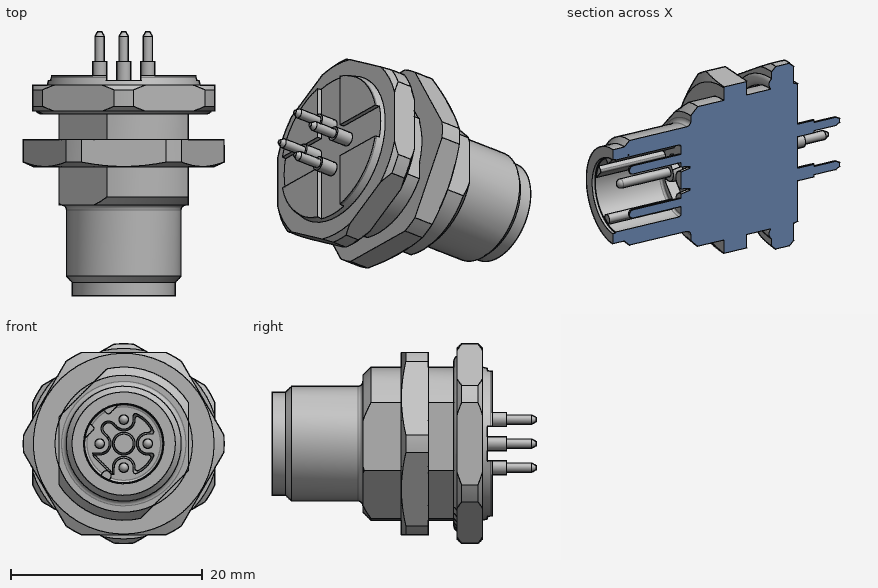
import cadquery as cq
import math


TOTAL_LENGTH = 27.6
NOSE_END = 1.4
SLEEVE_START = 2.05
HOUSING_START = 9.47
NUT_START = 13.47
NUT_END = 16.3
FLANGE_START = 19.3
FLANGE_END = 22.0
SLOT_FLOOR = 22.5
BOSS_END = 23.0
PIN_SHOULDER = 24.48

NOSE_RADIUS = 10.8 / 2
SLEEVE_RADIUS = 12.0 / 2
SLEEVE_FILLET = 0.5
HOUSING_RADIUS = 16.0 / 2
HOUSING_CHAMFER = 0.85
HOUSING_FLAT = 6.75
FLAT_ANGLES = (0, 180, 135, 315)

HEX_ACROSS_FLATS = 19.05
NUT_CORNER_RADIUS = 21.0 / 2
NUT_HOLE_RADIUS = 7.18
NUT_FACE_RADIUS = 9.45
NUT_CHAMFER_LENGTH = 0.5
FLANGE_CORNER_RADIUS = 20.9 / 2
FLANGE_CHAMFER = 0.5

RING_TUBE_RADIUS = 0.75
RING_RADIUS = 8.53
RING_PROTRUSION = 0.33

BOSS_REAR_RADIUS = 7.78
BOSS_LIP = 0.2
SLOT_WIDTH = 3.65

MOUTH_RADIUS = 8.4 / 2
MOUTH_DEPTH = 0.33
BORE_RADIUS = 4.08
BORE_FILLET = 0.25
INSERT_FACE = 8.28

RECESS_DEPTH = 1.1
RECESS_DRAFT = 10.0
RECESS_RADIUS = 3.2
RECESS_CHORD = 2.98
LOBE_CORNER_RADIUS = 0.25
ISLAND_RADIUS = 1.2
FINGER_REACH = 2.24

KEY_START = 0.41
WEDGE_TIP_RADIUS = 0.25
WEDGE_OFFSET = 1.6
WEDGE_TIP_DISTANCE = 3.0
ROUND_KEY_RADIUS = 0.5
ROUND_KEY_DISTANCE = 3.78
ROUND_KEY_ANGLE = 241.5

PIN_CIRCLE_RADIUS = 2.5
CONTACT_RADIUS = 1.0 / 2
CONTACT_TIP = 2.01
TAIL_BASE_RADIUS = 1.5 / 2
TAIL_TIP_RADIUS = 0.22
TAIL_TIP_LENGTH = 0.5
PIN_ANGLES = (0, 90, 180, 270)


def revolve_profile(points):
    """Solid of revolution about Y from a closed (radius, y) outline."""
    return cq.Workplane("XY").polyline(points).close().revolve(360, (0, 0, 0), (0, 1, 0))


def plane_at(y):
    """Workplane across the axis: local x is X, local y is Z and the normal is -Y."""
    return cq.Workplane("XZ", origin=(0, y, 0))


def cylinder(radius, start, end):
    return plane_at(start).circle(radius).extrude(start - end)


def turned(shape, angle):
    """Turn a shape about the plug axis, from +X towards +Z."""
    return shape.rotate((0, 0, 0), (0, 1, 0), -angle)


def make_sleeve():
    fillet_start = HOUSING_START - SLEEVE_FILLET
    fillet_middle = SLEEVE_FILLET * (1 - math.sqrt(0.5))
    return (
        cq.Workplane("XY")
        .polyline([
            (0, HOUSING_START),
            (0, 0),
            (NOSE_RADIUS, 0),
            (NOSE_RADIUS, NOSE_END),
            (SLEEVE_RADIUS, SLEEVE_START),
            (SLEEVE_RADIUS, fillet_start),
        ])
        .threePointArc(
            (SLEEVE_RADIUS + fillet_middle, HOUSING_START - fillet_middle),
            (SLEEVE_RADIUS + SLEEVE_FILLET, HOUSING_START),
        )
        .close()
        .revolve(360, (0, 0, 0), (0, 1, 0))
    )


def make_housing():
    housing = cylinder(HOUSING_RADIUS, HOUSING_START, FLANGE_START).faces("<Y").chamfer(HOUSING_CHAMFER)
    cutter_size = 2 * HOUSING_RADIUS
    for angle in FLAT_ANGLES:
        cutter = (
            plane_at(HOUSING_START)
            .center(HOUSING_FLAT + cutter_size / 2, 0)
            .rect(cutter_size, cutter_size)
            .extrude(HOUSING_START - FLANGE_START)
        )
        housing = housing.cut(turned(cutter, angle))
    return housing


def hexagon(start, end):
    """Hexagonal prism with two corners on the X axis."""
    across_corners = HEX_ACROSS_FLATS / math.cos(math.pi / 6)
    return plane_at(start).polygon(6, across_corners).extrude(start - end)


def make_nut():
    envelope = revolve_profile([
        (0, NUT_START),
        (NUT_FACE_RADIUS, NUT_START),
        (NUT_CORNER_RADIUS, NUT_START + NUT_CHAMFER_LENGTH),
        (NUT_CORNER_RADIUS, NUT_END),
        (0, NUT_END),
    ])
    hole = cylinder(NUT_HOLE_RADIUS, NUT_START, NUT_END)
    return hexagon(NUT_START, NUT_END).intersect(envelope).cut(hole)


def make_flange():
    envelope = cylinder(FLANGE_CORNER_RADIUS, FLANGE_START, FLANGE_END)
    envelope = envelope.faces("<Y or >Y").chamfer(FLANGE_CHAMFER)
    return turned(hexagon(FLANGE_START, FLANGE_END), 90).intersect(envelope)


def make_sealing_ring():
    ring_centre = FLANGE_START - RING_PROTRUSION + RING_TUBE_RADIUS
    return (
        cq.Workplane("XY")
        .center(RING_RADIUS, ring_centre)
        .circle(RING_TUBE_RADIUS)
        .revolve(360, (-RING_RADIUS, 0, 0), (-RING_RADIUS, 1, 0))
    )


def make_rear_boss():
    boss = revolve_profile([
        (0, FLANGE_END),
        (HOUSING_RADIUS, FLANGE_END),
        (BOSS_REAR_RADIUS, BOSS_END - BOSS_LIP),
        (BOSS_REAR_RADIUS, BOSS_END),
        (0, BOSS_END),
    ])
    slot = plane_at(SLOT_FLOOR).rect(2 * HOUSING_RADIUS, SLOT_WIDTH).extrude(SLOT_FLOOR - BOSS_END)
    return boss.cut(slot).cut(turned(slot, 90))


def make_socket():
    bore = cylinder(BORE_RADIUS, 0, INSERT_FACE).faces(">Y").edges().fillet(BORE_FILLET)
    return bore.union(cylinder(MOUTH_RADIUS, 0, MOUTH_DEPTH))


def make_recess():
    """Drafted recess of four lobes that flows round the pin islands and the centre stud."""
    floor = plane_at(INSERT_FACE + RECESS_DEPTH)
    widening = {"until": RECESS_DEPTH, "taper": -RECESS_DRAFT}
    narrowing = {"until": RECESS_DEPTH, "taper": RECESS_DRAFT}

    recess = floor.circle(RECESS_RADIUS).extrude(**widening)

    corner_lobe = (
        floor.center(-RECESS_RADIUS / 2, -RECESS_RADIUS / 2)
        .rect(RECESS_RADIUS, RECESS_RADIUS)
        .extrude(RECESS_DEPTH)
    )
    chord_block = (
        floor.center(RECESS_CHORD + BORE_RADIUS / 2, 0)
        .rect(BORE_RADIUS, 2 * BORE_RADIUS)
        .extrude(**narrowing)
    )
    recess = recess.union(corner_lobe).cut(turned(chord_block, 225))

    offset = PIN_CIRCLE_RADIUS * math.sqrt(0.5)
    finger_radius = offset - ISLAND_RADIUS
    quadrant = (
        floor.center(-BORE_RADIUS / 2, BORE_RADIUS / 2)
        .rect(BORE_RADIUS, BORE_RADIUS)
        .extrude(RECESS_DEPTH)
    )
    finger = (
        floor.center(FINGER_REACH / 2, 0)
        .slot2D(FINGER_REACH + 2 * finger_radius, 2 * finger_radius)
        .extrude(**widening)
    )
    hub = floor.circle(offset).extrude(RECESS_DEPTH)
    recess = recess.cut(quadrant).union(hub).union(turned(finger, 135))

    island = (
        floor.center(PIN_CIRCLE_RADIUS + BORE_RADIUS / 2, 0)
        .slot2D(BORE_RADIUS + 2 * ISLAND_RADIUS, 2 * ISLAND_RADIUS)
        .extrude(**narrowing)
    )
    for angle in PIN_ANGLES:
        recess = recess.cut(turned(island, angle))
    stud = floor.circle(ISLAND_RADIUS).extrude(**narrowing)
    recess = recess.cut(stud)

    def is_lobe_corner(edge):
        middle = edge.Center()
        crosses_depth = edge.BoundingBox().ylen > RECESS_DEPTH / 2
        return crosses_depth and math.hypot(middle.x, middle.z) > PIN_CIRCLE_RADIUS + CONTACT_RADIUS

    return recess.edges().filter(is_lobe_corner).fillet(LOBE_CORNER_RADIUS)


def make_keys():
    """Two right-angled wedges and one round-nosed key along the socket wall."""
    span = KEY_START - INSERT_FACE
    reach = MOUTH_RADIUS - WEDGE_TIP_DISTANCE
    wedge = (
        plane_at(KEY_START)
        .polyline([
            (-WEDGE_OFFSET, WEDGE_TIP_DISTANCE),
            (-WEDGE_OFFSET + reach, MOUTH_RADIUS),
            (-WEDGE_OFFSET - reach, MOUTH_RADIUS),
        ])
        .close()
        .extrude(span)
        .edges("|Y and <Z")
        .fillet(WEDGE_TIP_RADIUS)
    )
    mirrored_wedge = wedge.rotate((0, 0, 0), (-1, 0, 1), 180)
    mirrored_wedge = mirrored_wedge.translate((0, KEY_START + INSERT_FACE, 0))
    round_key = (
        plane_at(KEY_START)
        .center(ROUND_KEY_DISTANCE + MOUTH_RADIUS / 2, 0)
        .slot2D(MOUTH_RADIUS + 2 * ROUND_KEY_RADIUS, 2 * ROUND_KEY_RADIUS)
        .extrude(span)
    )
    keys = wedge.union(mirrored_wedge).union(turned(round_key, ROUND_KEY_ANGLE))
    return keys.intersect(cylinder((BORE_RADIUS + NOSE_RADIUS) / 2, KEY_START, INSERT_FACE))


def make_contact():
    """Dome-tipped front contact."""
    tip_arc_end = CONTACT_TIP + CONTACT_RADIUS
    contact = cylinder(CONTACT_RADIUS, tip_arc_end, INSERT_FACE + RECESS_DEPTH)
    return contact.union(cq.Workplane("XY").sphere(CONTACT_RADIUS).translate((0, tip_arc_end, 0)))


def make_tail():
    """Stepped solder tail with a tapered end."""
    return revolve_profile([
        (0, FLANGE_END),
        (TAIL_BASE_RADIUS, FLANGE_END),
        (TAIL_BASE_RADIUS, PIN_SHOULDER),
        (CONTACT_RADIUS, PIN_SHOULDER),
        (CONTACT_RADIUS, TOTAL_LENGTH - TAIL_TIP_LENGTH),
        (TAIL_TIP_RADIUS, TOTAL_LENGTH),
        (0, TOTAL_LENGTH),
    ])


body = make_sleeve().union(make_housing()).union(make_nut())
body = body.union(make_flange()).union(make_sealing_ring()).union(make_rear_boss())
body = body.cut(make_socket()).cut(make_recess()).union(make_keys())

pin = make_contact().union(make_tail()).translate((PIN_CIRCLE_RADIUS, 0, 0))
for pin_angle in PIN_ANGLES:
    body = body.union(turned(pin, pin_angle))

result = body